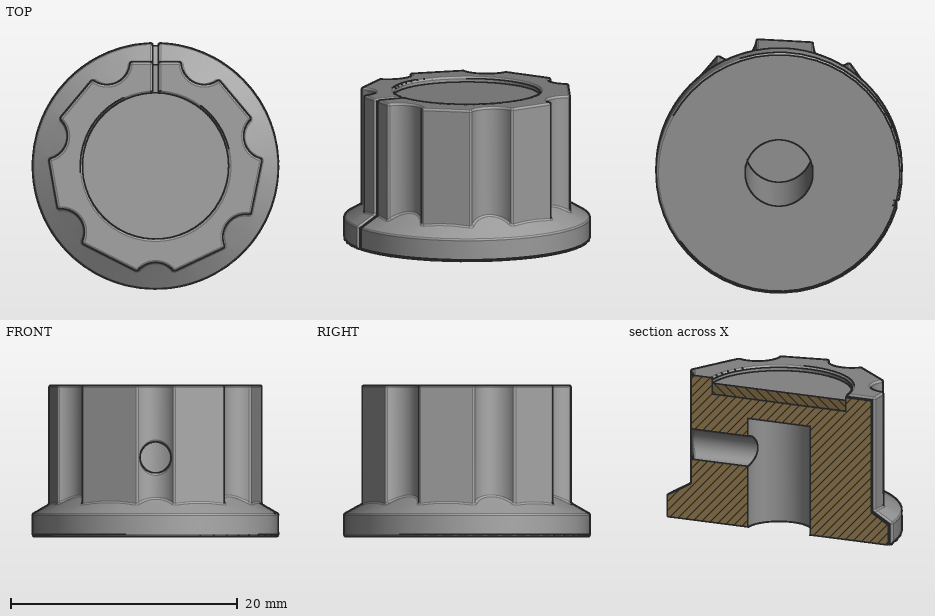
import cadquery as cq
import math

SKIRT_RADIUS = 10.85
KNOB_HEIGHT = 13.35
RIM_HEIGHT = 2.02
SKIRT_SLOPE = math.radians(30)
EDGE_ROUND = 0.2

CORNER_RADIUS = 9.45
SCALLOP_RADIUS = 2.05
SCALLOP_DISTANCE = 10.15
POINTER_ANGLE = 90
SCALLOP_SPACING = 50
SCALLOP_ANGLES = [POINTER_ANGLE + step * SCALLOP_SPACING for step in (-1.5, -0.5, 0.5, 1.5, 2.5)]
SCALLOP_ANGLES.append(321.7)

SCREW_ANGLE = POINTER_ANGLE + 180
SCREW_SCALLOP_DISTANCE = 10.55
SCREW_HOLE_RADIUS = 1.37
SCREW_HOLE_HEIGHT = 7.0

GROOVE_WIDTH = 0.5
GROOVE_DEPTH = 0.24

SHAFT_BORE_RADIUS = 3.0
SHAFT_BORE_DEPTH = 9.99

CAP_RADIUS = 12.9 / 2
CAP_THICKNESS = 1.0
CAP_RECESS = 0.5
CAP_BOTTOM = KNOB_HEIGHT - CAP_RECESS - CAP_THICKNESS


def polar(radius, degrees):
    angle = math.radians(degrees)
    return radius * math.cos(angle), radius * math.sin(angle)


def slope_height(radius):
    """Height of the skirt's sloped top at a distance from the knob axis."""
    return RIM_HEIGHT + (SKIRT_RADIUS - radius) * math.tan(SKIRT_SLOPE)


def scallop_half_angle(distance):
    """Angle between the middle of a scallop and the grip corner where its arc ends."""
    cosine = (distance**2 + CORNER_RADIUS**2 - SCALLOP_RADIUS**2) / (2 * distance * CORNER_RADIUS)
    return math.degrees(math.acos(cosine))


POINTER_FLAT_HALF_ANGLE = SCALLOP_SPACING / 2 - scallop_half_angle(SCALLOP_DISTANCE)
POINTER_FLAT = CORNER_RADIUS * math.cos(math.radians(POINTER_FLAT_HALF_ANGLE))


def make_grip():
    scallops = [(angle, SCALLOP_DISTANCE) for angle in SCALLOP_ANGLES]
    scallops.append((SCREW_ANGLE, SCREW_SCALLOP_DISTANCE))
    outline = cq.Workplane("XY")
    for index, (angle, distance) in enumerate(sorted(scallops)):
        half_angle = scallop_half_angle(distance)
        arc_start = polar(CORNER_RADIUS, angle - half_angle)
        arc_middle = polar(distance - SCALLOP_RADIUS, angle)
        arc_end = polar(CORNER_RADIUS, angle + half_angle)
        outline = outline.moveTo(*arc_start) if index == 0 else outline.lineTo(*arc_start)
        outline = outline.threePointArc(arc_middle, arc_end)
    return outline.close().extrude(KNOB_HEIGHT).edges("|Z").fillet(EDGE_ROUND)


def make_skirt():
    profile = [
        (0, 0),
        (SKIRT_RADIUS, 0),
        (SKIRT_RADIUS, RIM_HEIGHT),
        (CAP_RADIUS, slope_height(CAP_RADIUS)),
        (0, slope_height(CAP_RADIUS)),
    ]
    return cq.Workplane("YZ").polyline(profile).close().revolve(360, (0, 0), (0, 1))


def make_groove_cutter():
    """Everything outside the knob's profile moved inwards by the groove depth."""
    top_floor = KNOB_HEIGHT - GROOVE_DEPTH
    flat_floor = POINTER_FLAT - GROOVE_DEPTH
    rim_floor = SKIRT_RADIUS - GROOVE_DEPTH
    slope_drop = GROOVE_DEPTH / math.cos(SKIRT_SLOPE)
    outside_y = SKIRT_RADIUS + GROOVE_DEPTH
    outside_z = KNOB_HEIGHT + GROOVE_DEPTH
    profile = [
        (0, top_floor),
        (flat_floor, top_floor),
        (flat_floor, slope_height(flat_floor) - slope_drop),
        (rim_floor, slope_height(rim_floor) - slope_drop),
        (rim_floor, 0),
        (outside_y, 0),
        (outside_y, outside_z),
        (0, outside_z),
    ]
    return cq.Workplane("YZ").polyline(profile).close().extrude(GROOVE_WIDTH / 2, both=True)


def make_screw_hole_cutter():
    hole = cq.Workplane("XZ").center(0, SCREW_HOLE_HEIGHT).circle(SCREW_HOLE_RADIUS)
    return hole.extrude(SKIRT_RADIUS)


def make_cap():
    return cq.Workplane("XY", origin=(0, 0, CAP_BOTTOM)).circle(CAP_RADIUS).extrude(CAP_THICKNESS)


def make_cap_recess_cutter():
    recess = cq.Workplane("XY", origin=(0, 0, CAP_BOTTOM)).circle(CAP_RADIUS)
    return recess.extrude(KNOB_HEIGHT - CAP_BOTTOM)


def round_edges(knob):
    """Round the top, the bottom, the skirt, the grip's foot, the groove's rims and the screw hole."""
    edges = knob.faces(">Z").edges()
    edges = edges.add(knob.faces("<Z").edges("%CIRCLE or |X"))
    edges = edges.add(knob.faces("%CONE").edges())
    for groove_side in (-GROOVE_WIDTH / 2, GROOVE_WIDTH / 2):
        flat_rim = (groove_side, POINTER_FLAT, (KNOB_HEIGHT + slope_height(POINTER_FLAT)) / 2)
        skirt_rim = (groove_side, SKIRT_RADIUS, RIM_HEIGHT / 2)
        for rim_point in (flat_rim, skirt_rim):
            edges = edges.add(knob.edges("|Z").edges(cq.selectors.NearestToPointSelector(rim_point)))
    screw_scallop_floor = SCREW_SCALLOP_DISTANCE - SCALLOP_RADIUS
    hole_mouth = cq.selectors.BoxSelector(
        (-SCREW_HOLE_RADIUS, -CORNER_RADIUS, SCREW_HOLE_HEIGHT - SCREW_HOLE_RADIUS),
        (SCREW_HOLE_RADIUS, -screw_scallop_floor, SCREW_HOLE_HEIGHT + SCREW_HOLE_RADIUS),
    )
    edges = edges.add(knob.edges("%BSPLINE").edges(hole_mouth))
    return knob.newObject(list(set(edges.vals()))).fillet(EDGE_ROUND)


def make_knob():
    knob = make_grip().union(make_skirt())
    knob = knob.cut(make_cap_recess_cutter())
    knob = knob.cut(make_groove_cutter())
    knob = knob.cut(make_screw_hole_cutter())
    knob = round_edges(knob)
    shaft_bore = cq.Workplane("XY").circle(SHAFT_BORE_RADIUS).extrude(SHAFT_BORE_DEPTH)
    return knob.cut(shaft_bore)


knob = make_knob()
cap = make_cap()
result = cq.Compound.makeCompound([knob.val(), cap.val()])